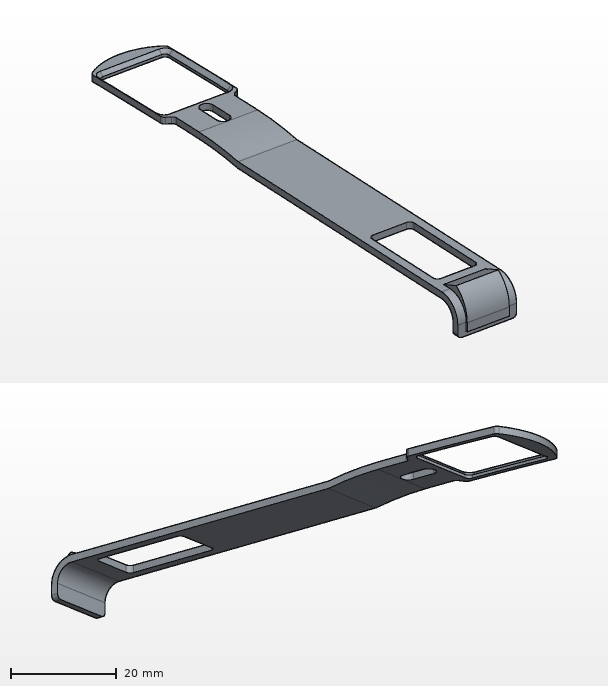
import cadquery as cq
import math


thickness = 1.5
strap_width = 14.0
head_end_x = 33.75
bend_end_x = 45.9
crest_height = 1.0
head_arch_radius = 900.0
bend_radius = ((bend_end_x - head_end_x)**2 + crest_height**2) / (2 * crest_height)

frame_width = 18.0
frame_end_x = 24.5
tip_radius = 15.0
frame_corner_radius = 1.0
shoulder_angle = math.radians(60)

window_length = 20.0
window_width = 16.0
window_start_x = 3.98
window_corner_radius = 1.0
window_chamfer = 0.9
window_chamfer_angle = 45

slot_length = 8.0
slot_width = 3.0
slot_center_x = 29.6

opening_length = 21.0
opening_width = 10.0
opening_start_x = 83.8
opening_corner_radius = 1.0

hook_start_x = 109.0
hook_outer_radius = 5.0
hook_inner_radius = hook_outer_radius - thickness
hook_bottom_z = -8.0
hook_corner_radius = 1.0

rib_width = 10.0
rib_start_x = 107.0
rib_peak_x = 110.9
rib_peak_z = 1.5
rib_end_x = 114.33
rib_bottom_z = hook_bottom_z + hook_corner_radius

hook_outer_x = hook_start_x + hook_outer_radius
hook_inner_x = hook_start_x + hook_inner_radius
hook_center_z = -hook_outer_radius
cut_depth = 10.0
selection_margin = 1.0


def point_on_circle(center_x, center_z, radius, angle):
    return (center_x + radius * math.cos(angle), center_z + radius * math.sin(angle))


def extrude_side_profile(profile, width):
    """Extrude a closed XZ profile symmetrically about the centreline."""
    return profile.close().extrude(width / 2, both=True)


def crest_arc_point(x, radius):
    """Point at x on an arc that is level at the crest, where the head meets the bend."""
    return (x, crest_height - radius + math.sqrt(radius**2 - (x - head_end_x)**2))


def lowered(point):
    return (point[0], point[1] - thickness)


def bent_sheet():
    """Head, bend and flat strap at the full frame width."""
    tip = crest_arc_point(0, head_arch_radius)
    head_middle = crest_arc_point(head_end_x / 2, head_arch_radius)
    crest = (head_end_x, crest_height)
    bend_middle = crest_arc_point((head_end_x + bend_end_x) / 2, bend_radius)
    bend_end = (bend_end_x, 0)
    strap_end = (hook_start_x, 0)
    profile = (
        cq.Workplane("XZ")
        .moveTo(*tip)
        .threePointArc(head_middle, crest)
        .threePointArc(bend_middle, bend_end)
        .lineTo(*strap_end)
        .lineTo(*lowered(strap_end))
        .lineTo(*lowered(bend_end))
        .threePointArc(lowered(bend_middle), lowered(crest))
        .threePointArc(lowered(head_middle), lowered(tip))
    )
    return extrude_side_profile(profile, frame_width)


def plan_outline():
    """Outline of the sheet from above: round tip, wide frame, shoulders and strap."""
    half_frame = frame_width / 2
    half_strap = strap_width / 2
    tip_corner_x = tip_radius - math.sqrt(tip_radius**2 - half_frame**2)
    shoulder_start_x = frame_end_x + frame_corner_radius * math.tan(shoulder_angle / 2)
    shoulder_end_x = shoulder_start_x + (half_frame - half_strap) / math.tan(shoulder_angle)
    return (
        cq.Workplane("XY")
        .workplane(offset=-cut_depth / 2)
        .moveTo(tip_corner_x, -half_frame)
        .lineTo(shoulder_start_x, -half_frame)
        .lineTo(shoulder_end_x, -half_strap)
        .lineTo(hook_start_x, -half_strap)
        .lineTo(hook_start_x, half_strap)
        .lineTo(shoulder_end_x, half_strap)
        .lineTo(shoulder_start_x, half_frame)
        .lineTo(tip_corner_x, half_frame)
        .threePointArc((0, 0), (tip_corner_x, -half_frame))
        .close()
        .extrude(cut_depth)
        .edges("|Z")
        .edges(cq.selectors.BoxSelector(
            (-selection_margin, -frame_width, -cut_depth), (head_end_x, frame_width, cut_depth)
        ))
        .fillet(frame_corner_radius)
    )


def rounded_opening(start_x, length, width, corner_radius):
    return (
        cq.Workplane("XY")
        .box(length, width, cut_depth)
        .edges("|Z")
        .fillet(corner_radius)
        .translate((start_x + length / 2, 0, 0))
    )


def window_chamfer_cutter():
    """Frustum that bevels the top edge of the head window, tilted to follow the arched head."""
    center_x = window_start_x + window_length / 2
    tilt = math.asin((head_end_x - center_x) / head_arch_radius)
    _, center_z = crest_arc_point(center_x, head_arch_radius)
    head_plane = cq.Plane(
        origin=(center_x, 0, center_z),
        xDir=(math.cos(tilt), 0, math.sin(tilt)),
        normal=(-math.sin(tilt), 0, math.cos(tilt)),
    )
    top_length = window_length + 2 * window_chamfer
    top_width = window_width + 2 * window_chamfer
    outline = (
        cq.Sketch()
        .rect(top_length, top_width)
        .vertices()
        .fillet(window_corner_radius + window_chamfer)
    )
    return (
        cq.Workplane(head_plane)
        .placeSketch(outline)
        .extrude(-window_chamfer, taper=window_chamfer_angle)
    )


def slot_cutter():
    return (
        cq.Workplane("XY")
        .center(slot_center_x, 0)
        .slot2D(slot_length, slot_width)
        .extrude(cut_depth / 2, both=True)
    )


def hook_arc_middle(radius):
    return point_on_circle(hook_start_x, hook_center_z, radius, math.pi / 4)


def hook():
    """Quarter-round hook at the end of the strap, ending in a straight lip with rounded corners."""
    outer_middle = hook_arc_middle(hook_outer_radius)
    inner_middle = hook_arc_middle(hook_inner_radius)
    profile = (
        cq.Workplane("XZ")
        .moveTo(hook_start_x, 0)
        .threePointArc(outer_middle, (hook_outer_x, hook_center_z))
        .lineTo(hook_outer_x, hook_bottom_z)
        .lineTo(hook_inner_x, hook_bottom_z)
        .lineTo(hook_inner_x, hook_center_z)
        .threePointArc(inner_middle, (hook_start_x, -thickness))
    )
    bottom_corners = cq.selectors.BoxSelector(
        (hook_start_x, -strap_width, hook_bottom_z - selection_margin),
        (rib_end_x, strap_width, hook_bottom_z + selection_margin),
    )
    return (
        extrude_side_profile(profile, strap_width)
        .edges("|X")
        .edges(bottom_corners)
        .fillet(hook_corner_radius)
    )


def rib():
    """Narrow rib: a ramp on the strap, then an arc down the back of the hook."""
    drop = rib_peak_z - hook_center_z
    run = rib_end_x - rib_peak_x
    radius = (run**2 + drop**2) / (2 * run)
    center_x = rib_end_x - radius
    back_middle = point_on_circle(center_x, hook_center_z, radius, math.asin(drop / radius) / 2)
    inner_middle = hook_arc_middle(hook_inner_radius)
    profile = (
        cq.Workplane("XZ")
        .moveTo(rib_start_x, 0)
        .lineTo(rib_peak_x, rib_peak_z)
        .threePointArc(back_middle, (rib_end_x, hook_center_z))
        .lineTo(rib_end_x, rib_bottom_z)
        .lineTo(hook_inner_x, rib_bottom_z)
        .lineTo(hook_inner_x, hook_center_z)
        .threePointArc(inner_middle, (hook_start_x, -thickness))
        .lineTo(rib_start_x, -thickness)
    )
    return extrude_side_profile(profile, rib_width)


strap = (
    bent_sheet()
    .intersect(plan_outline())
    .cut(rounded_opening(window_start_x, window_length, window_width, window_corner_radius))
    .cut(window_chamfer_cutter())
    .cut(slot_cutter())
    .cut(rounded_opening(opening_start_x, opening_length, opening_width, opening_corner_radius))
)
result = strap.union(hook()).union(rib())